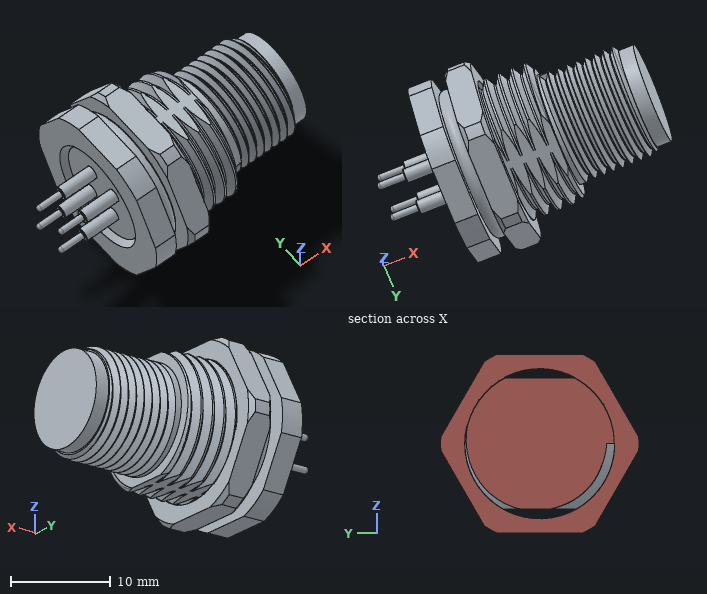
import cadquery as cq
import math


FLANGE_REAR = 6.42
FLANGE_FRONT = 8.95
RING_THICKNESS = 1.5
NUT_THICKNESS = 2.8
PANEL_THREAD_END = 19.0
PLUG_THREAD_END = 27.65
NOSE_END = 29.2
NUT_REAR = FLANGE_FRONT + RING_THICKNESS

ACROSS_FLATS = 18.0
FLANGE_CORNER_DIAMETER = 18.98
NUT_CORNER_DIAMETER = 20.0
NUT_CHAMFER = 0.5

RING_DIAMETER = 16.0
NECK_DIAMETER = RING_DIAMETER - 2 * RING_THICKNESS

THREAD_CHAMFER = 0.5

PANEL_RADIUS = 7.53
PANEL_PITCH = 1.43
PANEL_DEPTH = 0.9
PANEL_ROOT_WIDTH = 0.2
PANEL_MOUTH_WIDTH = 1.2
PANEL_ACROSS_FLATS = 13.23

PLUG_RADIUS = 5.93
PLUG_PITCH = 1.0
PLUG_DEPTH = 0.67
PLUG_ROOT_WIDTH = 0.12
PLUG_MOUTH_WIDTH = 0.93
PLUG_GROOVE_LEAD = 0.7
NOSE_RADIUS = PLUG_RADIUS - PLUG_DEPTH

RECESS_RADIUS = 6.07
RECESS_DEPTH = 0.7
INSERT_RADIUS = 5.55
INSERT_REAR = FLANGE_REAR + RECESS_DEPTH

PIN_OFFSET = 1.75
PIN_DIAMETER = 1.5
PIN_CHAMFER = 0.1
TAIL_DIAMETER = 0.82
TAIL_LENGTH = 3.0
TAIL_ROUNDING = 0.35

OVERCUT = 0.03


def section_plane(x):
    """Workplane across the axis at X = x, with local axes along +Y and +Z."""
    return cq.Workplane("YZ", origin=(x, 0, 0))


def cylinder(start, end, radius):
    return section_plane(start).circle(radius).extrude(end - start)


def thread_blank(start, end, radius):
    return cylinder(start, end, radius).faces(">X").edges().chamfer(THREAD_CHAMFER)


def hexagon(start, thickness):
    corner_to_corner = ACROSS_FLATS / math.cos(math.radians(30))
    return section_plane(start).polygon(6, corner_to_corner).extrude(thickness)


def thread_groove(start, end, radius, pitch, depth, root_width, mouth_width):
    """Right-hand helical groove about X; it starts on the -Y side, centred on X = start."""
    root_radius = radius - depth
    outer_radius = radius + OVERCUT
    outer_width = mouth_width + OVERCUT * (mouth_width - root_width) / depth
    corners = [
        (root_radius, -root_width / 2),
        (outer_radius, -outer_width / 2),
        (outer_radius, outer_width / 2),
        (root_radius, root_width / 2),
    ]
    helices = [
        cq.Wire.makeHelix(pitch, end - start, corner_radius, center=cq.Vector(0, 0, offset))
        for corner_radius, offset in corners
    ]
    following = helices[1:] + helices[:1]
    sides = [cq.Face.makeRuledSurface(helix, neighbour) for helix, neighbour in zip(helices, following)]
    end_caps = []
    for fraction in (0, 1):
        cap_corners = [helix.positionAt(fraction) for helix in helices]
        end_caps.append(cq.Face.makeFromWires(cq.Wire.makePolygon(cap_corners, close=True)))
    groove = cq.Solid.makeSolid(cq.Shell.makeShell(sides + end_caps))
    placed = groove.moved(cq.Location(section_plane(start).plane))
    return placed.rotate(cq.Vector(0, 0, 0), cq.Vector(1, 0, 0), 180)


def make_panel_thread():
    """Barrel with two flats across Z; its groove starts inside the nut, one pitch in."""
    length = PANEL_THREAD_END - NUT_REAR
    groove = thread_groove(
        NUT_REAR + PANEL_PITCH,
        PANEL_THREAD_END + PANEL_PITCH / 2,
        PANEL_RADIUS,
        PANEL_PITCH,
        PANEL_DEPTH,
        PANEL_ROOT_WIDTH,
        PANEL_MOUTH_WIDTH,
    )
    flats = section_plane(NUT_REAR).rect(3 * PANEL_RADIUS, PANEL_ACROSS_FLATS).extrude(length)
    blank = thread_blank(NUT_REAR, PANEL_THREAD_END, PANEL_RADIUS)
    return blank.cut(cq.Workplane(groove)).intersect(flats)


def make_plug_thread():
    """Threaded barrel in front of the panel thread, with a short plain collar."""
    groove = thread_groove(
        PANEL_THREAD_END + PLUG_GROOVE_LEAD,
        PLUG_THREAD_END + PLUG_PITCH / 2,
        PLUG_RADIUS,
        PLUG_PITCH,
        PLUG_DEPTH,
        PLUG_ROOT_WIDTH,
        PLUG_MOUTH_WIDTH,
    )
    blank = thread_blank(PANEL_THREAD_END, PLUG_THREAD_END, PLUG_RADIUS)
    return blank.cut(cq.Workplane(groove))


def make_flange():
    """Hexagonal flange with rounded-off corners and the pocket for the insert."""
    thickness = FLANGE_FRONT - FLANGE_REAR
    rounding = cylinder(FLANGE_REAR, FLANGE_FRONT, FLANGE_CORNER_DIAMETER / 2)
    recess = cq.Workplane(
        cq.Solid.makeCone(
            RECESS_RADIUS,
            INSERT_RADIUS,
            RECESS_DEPTH,
            pnt=cq.Vector(FLANGE_REAR, 0, 0),
            dir=cq.Vector(1, 0, 0),
        )
    )
    pocket = cylinder(INSERT_REAR, FLANGE_FRONT, INSERT_RADIUS)
    return hexagon(FLANGE_REAR, thickness).intersect(rounding).cut(recess).cut(pocket)


def make_housing():
    neck = cylinder(FLANGE_FRONT, NUT_REAR, NECK_DIAMETER / 2)
    nose = cylinder(PLUG_THREAD_END, NOSE_END, NOSE_RADIUS)
    return make_flange().union(neck).union(make_panel_thread()).union(make_plug_thread()).union(nose)


def make_sealing_ring():
    """Round-section ring that fills the gap between the flange and the nut."""
    section_radius = RING_THICKNESS / 2
    return cq.Workplane(
        cq.Solid.makeTorus(
            RING_DIAMETER / 2 - section_radius,
            section_radius,
            pnt=cq.Vector(FLANGE_FRONT + section_radius, 0, 0),
            dir=cq.Vector(1, 0, 0),
        )
    )


def make_nut():
    """Hexagonal nut with corners turned down and chamfered, bored to the thread crests."""
    turned_blank = (
        cylinder(NUT_REAR, NUT_REAR + NUT_THICKNESS, NUT_CORNER_DIAMETER / 2)
        .edges("%CIRCLE")
        .chamfer(NUT_CHAMFER)
    )
    bore = cylinder(NUT_REAR, NUT_REAR + NUT_THICKNESS, PANEL_RADIUS)
    return hexagon(NUT_REAR, NUT_THICKNESS).intersect(turned_blank).cut(bore)


def make_pin(y, z):
    """Stepped pin with a thin tail; its front end is level with the front of the insert."""
    tail = cylinder(0, TAIL_LENGTH, TAIL_DIAMETER / 2).faces("<X").edges().fillet(TAIL_ROUNDING)
    shank = cylinder(TAIL_LENGTH, FLANGE_FRONT, PIN_DIAMETER / 2).faces("<X").edges().chamfer(PIN_CHAMFER)
    return tail.union(shank).translate((0, y, z))


def make_insert(pin_places):
    """Disc that holds the pins and fills the pocket of the flange."""
    holes = section_plane(INSERT_REAR).pushPoints(pin_places).circle(PIN_DIAMETER / 2)
    return cylinder(INSERT_REAR, FLANGE_FRONT, INSERT_RADIUS).cut(holes.extrude(FLANGE_FRONT - INSERT_REAR))


pin_places = [(y, z) for y in (-PIN_OFFSET, PIN_OFFSET) for z in (-PIN_OFFSET, PIN_OFFSET)]
pins = [make_pin(y, z) for y, z in pin_places]
housing = make_housing()
insert = make_insert(pin_places)
sealing_ring = make_sealing_ring()
nut = make_nut()

result = cq.Compound.makeCompound(
    [housing.val(), insert.val(), sealing_ring.val(), nut.val(), *[pin.val() for pin in pins]]
)